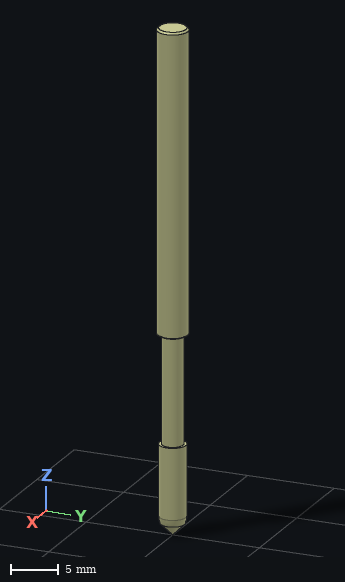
import cadquery as cq
import math

total_length = 57.25
barrel_diameter = 3.5
stem_diameter = 2.4
head_diameter = 3.05

barrel_bottom = 22.55
head_top = 10.3
head_round_start = 2.2
tip_cone_height = 1.4

top_chamfer = 0.25
bottom_chamfer_width = 0.4
bottom_chamfer_height = 0.25
tip_cone_angle = 90.0


def make_barrel():
    """Plain cylindrical barrel with a chamfer at each end."""
    radius = barrel_diameter / 2
    length = total_length - barrel_bottom
    barrel = cq.Workplane("XY", origin=(0, 0, barrel_bottom)).circle(radius).extrude(length)
    barrel = barrel.faces(">Z").chamfer(top_chamfer)
    return barrel.faces("<Z").chamfer(bottom_chamfer_height, bottom_chamfer_width)


def make_plunger():
    """Turned plunger: stem against the barrel's end face, wider head, rounded shoulder and pointed tip."""
    stem_radius = stem_diameter / 2
    head_radius = head_diameter / 2
    cone_radius = tip_cone_height * math.tan(math.radians(tip_cone_angle / 2))
    return (
        cq.Workplane("XZ")
        .moveTo(0, 0)
        .lineTo(0, barrel_bottom)
        .lineTo(stem_radius, barrel_bottom)
        .lineTo(stem_radius, head_top)
        .lineTo(head_radius, head_top)
        .lineTo(head_radius, head_round_start)
        .tangentArcPoint((cone_radius, tip_cone_height), relative=False)
        .close()
        .revolve(360, (0, 0), (0, 1))
    )


barrel = make_barrel()
plunger = make_plunger()

result = cq.Compound.makeCompound([barrel.val(), plunger.val()])